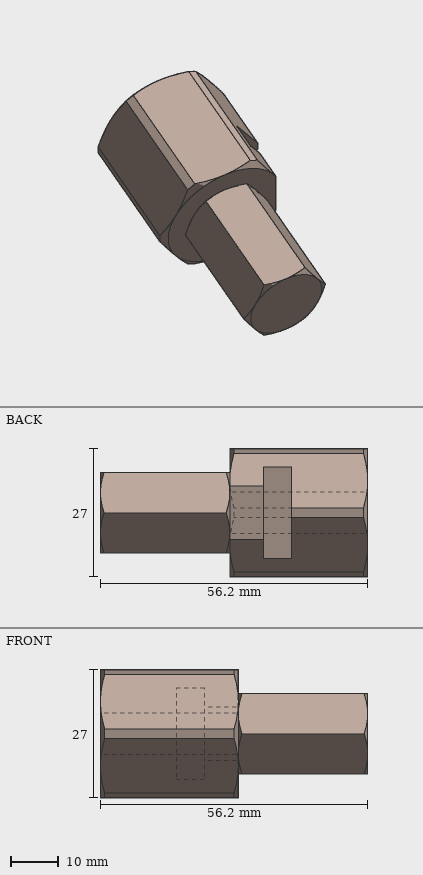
import cadquery as cq
import math

TOTAL_LENGTH = 56.2
HOUSING_LENGTH = 29.0
HOUSING_FLATS = 27.0
HOUSING_CORNERS = 30.0
BORE_DIAMETER = 8.65
SHANK_FLATS = 17.0
CHAMFER_ANGLE = 30.0

SLOT_START = 16.0
SLOT_END = 21.9
SLOT_FLOOR_Y = 10.0
LAND_Y = 12.3

SHANK_LENGTH = TOTAL_LENGTH - HOUSING_LENGTH
CORNER_RATIO = 1 / math.cos(math.radians(30))


def hexagon_bar(start_x, length, across_flats):
    """Hexagonal bar along X with corners on +Y and -Y."""
    return (
        cq.Workplane("YZ", origin=(start_x, 0, 0))
        .polygon(6, across_flats * CORNER_RATIO)
        .extrude(length)
    )


def chamfered_envelope(start_x, length, end_diameter, outer_diameter):
    """Round bar along X whose conical ends shrink to end_diameter."""
    end_radius = end_diameter / 2
    outer_radius = outer_diameter / 2
    cone_length = (outer_radius - end_radius) * math.tan(math.radians(CHAMFER_ANGLE))
    end_x = start_x + length
    return (
        cq.Workplane("XY")
        .moveTo(start_x, 0)
        .lineTo(start_x, end_radius)
        .lineTo(start_x + cone_length, outer_radius)
        .lineTo(end_x - cone_length, outer_radius)
        .lineTo(end_x, end_radius)
        .lineTo(end_x, 0)
        .close()
        .revolve(360, (0, 0, 0), (1, 0, 0))
    )


def chamfered_hexagon(start_x, length, across_flats):
    """Hexagonal bar with its corners cone-chamfered at both ends."""
    full_corners = across_flats * CORNER_RATIO
    bar = hexagon_bar(start_x, length, across_flats)
    return bar.intersect(chamfered_envelope(start_x, length, across_flats, full_corners))


def side_relief():
    """Stepped cutter: a deep slot followed by a shallow land, open to +Y."""
    open_y = HOUSING_CORNERS
    return (
        cq.Workplane("XY")
        .moveTo(SLOT_START, open_y)
        .lineTo(SLOT_START, SLOT_FLOOR_Y)
        .lineTo(SLOT_END, SLOT_FLOOR_Y)
        .lineTo(SLOT_END, LAND_Y)
        .lineTo(HOUSING_LENGTH, LAND_Y)
        .lineTo(HOUSING_LENGTH, open_y)
        .close()
        .extrude(HOUSING_FLATS / 2, both=True)
    )


def make_housing():
    """Large hexagon with flat-cut corners, a through bore and a side relief."""
    body = chamfered_hexagon(0, HOUSING_LENGTH, HOUSING_FLATS)
    corner_flats = hexagon_bar(0, HOUSING_LENGTH, HOUSING_CORNERS).rotate((0, 0, 0), (1, 0, 0), 30)
    bore = cq.Workplane("YZ").circle(BORE_DIAMETER / 2).extrude(HOUSING_LENGTH)
    return body.intersect(corner_flats).cut(bore).cut(side_relief())


def make_shank():
    """Small hexagon that closes the inner end of the bore."""
    return chamfered_hexagon(HOUSING_LENGTH, SHANK_LENGTH, SHANK_FLATS)


housing = make_housing()
shank = make_shank()
result = cq.Compound.makeCompound([housing.val(), shank.val()])